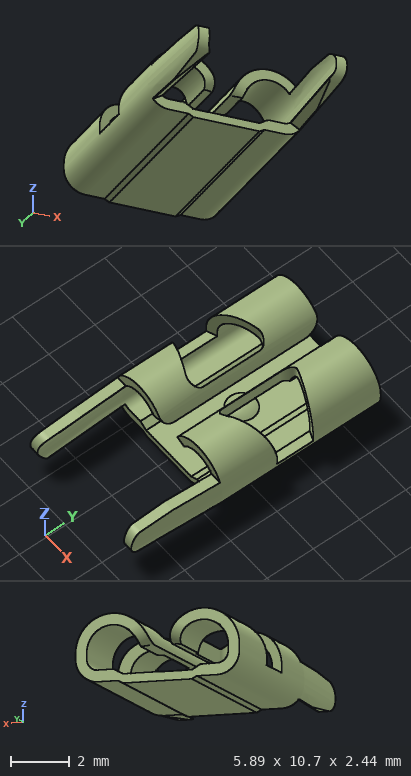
import cadquery as cq
import math

width = 5.89
total_length = 10.67
tube_length = 6.86
height = 2.44
sheet = 0.41

curl_radius = 1.32
curl_x = curl_radius - width / 2
curl_z = height - curl_radius
tip_angle = 11
bend_radius = 0.8
floor_z = 0.1
bend_x = bend_radius - width / 2
bend_z = floor_z + bend_radius

web_thickness = 0.32
web_half_width = 1.24
under_step_x = 1.42
step_x = 1.56
step_mid_x = 1.41
step_mid_z = 0.42

front_lip_corner = 0.53
back_lip_corner = 0.69
lip_mid_angle = 10

window_y = 3.16
window_sill_z = 0.87
window_inner_x = -0.57
window_outer_half = 0.78
window_inner_half = 1.78
window_corner = 0.37
dome_radius = 0.6
dome_height = 0.22

leg_length = total_length - tube_length
leg_lean = 0.17
leg_bottom_z = 0.38
leg_top_z = 1.68
leg_top_flat = 1.98
leg_bottom_flat = 1.6
leg_taper_length = 3.29
leg_end_top_z = 1.58
leg_end_bottom_z = 0.53
tip_z = (leg_end_top_z + leg_end_bottom_z) / 2
leg_outer_edge_z = 0.26
leg_inner_edge_x = -2.08
leg_inner_edge_z = 0.77


def polar(radius, degrees, x, z):
    angle = math.radians(degrees)
    return (x + radius * math.cos(angle), z + radius * math.sin(angle))


def on_curl(radius, degrees):
    return polar(radius, degrees, curl_x, curl_z)


def on_bend(radius, degrees):
    return polar(radius, degrees, bend_x, bend_z)


def half_section():
    """Left half of the sheet section, from the part's centre to the curl lip."""
    inner_curl = curl_radius - sheet
    inner_bend = bend_radius - sheet
    return (
        cq.Workplane("XZ")
        .moveTo(0, 0)
        .lineTo(-web_half_width, 0)
        .lineTo(-under_step_x, floor_z)
        .lineTo(bend_x, floor_z)
        .threePointArc(on_bend(bend_radius, 225), on_bend(bend_radius, 180))
        .lineTo(*on_curl(curl_radius, 180))
        .threePointArc(on_curl(curl_radius, 90), on_curl(curl_radius, tip_angle))
        .lineTo(*on_curl(inner_curl, tip_angle))
        .threePointArc(on_curl(inner_curl, 90), on_curl(inner_curl, 180))
        .lineTo(*on_bend(inner_bend, 180))
        .threePointArc(on_bend(inner_bend, 225), on_bend(inner_bend, 270))
        .lineTo(-step_x, floor_z + sheet)
        .lineTo(-step_mid_x, step_mid_z)
        .lineTo(-web_half_width, web_thickness)
        .lineTo(0, web_thickness)
        .close()
    )


def lip_corner_cutter(end_y, inward, lip_corner):
    """Waste outside a rounded lip corner, cut square through the lip."""
    lip_x, lip_z = on_curl(curl_radius, tip_angle)
    tilt = math.radians(tip_angle + lip_mid_angle)
    plane = cq.Plane(
        origin=(lip_x, end_y, lip_z),
        xDir=(-math.sin(tilt), 0, math.cos(tilt)),
        normal=(-math.cos(tilt), 0, -math.sin(tilt)),
    )
    nick = lip_corner * (1 - math.sqrt(0.5))
    return (
        cq.Workplane(plane)
        .moveTo(-lip_corner, 0)
        .lineTo(lip_corner, 0)
        .threePointArc((nick, inward * nick), (0, inward * lip_corner))
        .lineTo(-lip_corner, inward * lip_corner)
        .close()
        .extrude(lip_corner, both=True)
    )


def window_cutter():
    """Vertical cut, narrow at the outer wall and wide near the lip."""
    outer_x = -width / 2
    return (
        cq.Workplane("XY", origin=(0, window_y, window_sill_z))
        .polyline([
            (outer_x, -window_outer_half),
            (window_inner_x, -window_inner_half),
            (window_inner_x, window_inner_half),
            (outer_x, window_outer_half),
        ])
        .close()
        .extrude(height)
        .edges("|Z and >X")
        .fillet(window_corner)
    )


def leg():
    """Continuation of the side wall, leaning inward and tapering to a rounded tip."""
    lean_path = cq.Workplane("XY").lineTo(leg_lean, -leg_length)
    leaning_side = half_section().sweep(lean_path)
    profile = (
        cq.Workplane("YZ")
        .moveTo(0, leg_bottom_z)
        .lineTo(-leg_bottom_flat, leg_bottom_z)
        .lineTo(-leg_taper_length, leg_end_bottom_z)
        .threePointArc((-leg_length, tip_z), (-leg_taper_length, leg_end_top_z))
        .lineTo(-leg_top_flat, leg_top_z)
        .lineTo(0, leg_top_z)
        .close()
        .extrude(-width / 2)
    )
    inboard = (
        cq.Workplane("XZ")
        .polyline([
            (-width / 2, leg_outer_edge_z),
            (leg_inner_edge_x, leg_inner_edge_z),
            (leg_inner_edge_x, height),
            (0, height),
            (0, 0),
            (-width / 2, 0),
        ])
        .close()
        .sweep(lean_path)
    )
    return leaning_side.intersect(profile).cut(inboard)


def dome():
    """Spherical cap standing on the web."""
    sphere_radius = (dome_radius**2 + dome_height**2) / (2 * dome_height)
    sphere_z = web_thickness + dome_height - sphere_radius
    ball = cq.Workplane("XY").sphere(sphere_radius).translate((0, window_y, sphere_z))
    footprint = (
        cq.Workplane("XY", origin=(0, window_y, web_thickness / 2))
        .circle(dome_radius)
        .extrude(height)
    )
    return ball.intersect(footprint)


side = half_section().extrude(-tube_length)
side = side.cut(lip_corner_cutter(0, 1, front_lip_corner))
side = side.cut(lip_corner_cutter(tube_length, -1, back_lip_corner))
side = side.cut(window_cutter()).union(leg())
result = side.union(side.mirror("YZ")).union(dome())